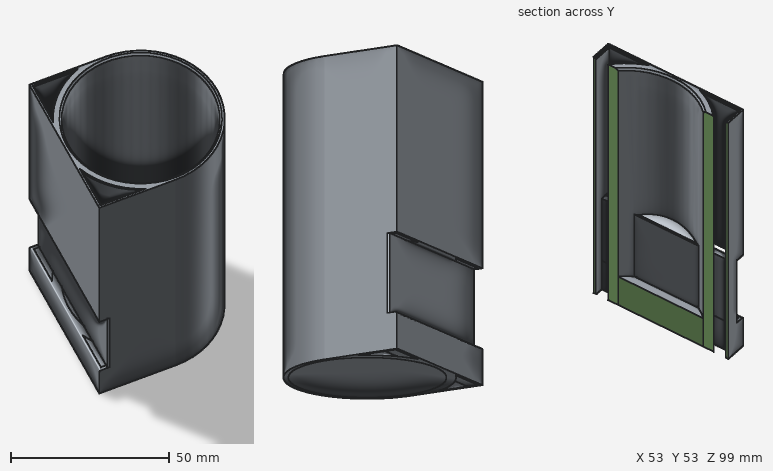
import cadquery as cq

height = 99.0
half_width = 26.5
front_y = -half_width

bore_radius = 50.0 / 2
bore_chamfer = 0.7
tube_radius = 28.0

wall = 1.1
pocket_chamfer = 0.35
pocket_half_width = half_width - wall

window_bottom = 12.1
window_top = 38.1
window_depth = 2.9
panel_back_depth = 4.95
panel_face_y = front_y + window_depth
panel_back_y = front_y + panel_back_depth
shoulder_depth = 3.6
shoulder_width = 0.35
lip_fillet = 0.7

shelf_back_depth = 4.3
shelf_top = 41.2


def cylinder(radius, bottom, top):
    return cq.Workplane("XY").workplane(offset=bottom).circle(radius).extrude(top - bottom)


def front_block(half_x, back_y, face_y, bottom, top):
    """Box centred on X between two Y planes and two Z levels."""
    return cq.Workplane("XY").box(
        2 * half_x, back_y - face_y, top - bottom, centered=(True, False, False)
    ).translate((0, face_y, bottom))


def make_envelope():
    square_front = front_block(half_width, 0, front_y, 0, height)
    return cylinder(half_width, 0, height).union(square_front)


def make_pockets():
    """Both corner pockets, straight through the full height."""
    inner_box = front_block(pocket_half_width, 0, -pocket_half_width, 0, height)
    return inner_box.cut(cylinder(tube_radius, 0, height))


def make_pocket_mouths():
    """Chamfers round the top of the corner pockets."""
    mouth_half_width = pocket_half_width + pocket_chamfer
    chamfer_start = height - pocket_chamfer
    mouth_top = height + pocket_chamfer
    mouth_box = front_block(mouth_half_width, mouth_half_width, -mouth_half_width, chamfer_start, mouth_top)
    mouth_box = mouth_box.faces("<Z").chamfer(pocket_chamfer)
    tube_rim = cylinder(tube_radius, 0, height).faces(">Z").chamfer(pocket_chamfer)
    front_half = front_block(half_width, 0, front_y, chamfer_start, mouth_top)
    return mouth_box.intersect(front_half).cut(tube_rim)


def make_window():
    """Window cut through the front, deepening at both ends to slanted shoulders."""
    shoulder_y = front_y + shoulder_depth
    panel_half_width = half_width - shoulder_width
    return (
        cq.Workplane("XY")
        .workplane(offset=window_bottom)
        .polyline([
            (-half_width, front_y),
            (-half_width, shoulder_y),
            (-panel_half_width, panel_face_y),
            (panel_half_width, panel_face_y),
            (half_width, shoulder_y),
            (half_width, front_y),
        ])
        .close()
        .extrude(window_top - window_bottom)
    )


def make_shelf():
    """Wedge falling from the front wall to the panel top, inside the tube."""
    wedge = (
        cq.Workplane("YZ")
        .polyline([
            (front_y, window_top),
            (front_y, shelf_top),
            (front_y + shelf_back_depth, window_top),
        ])
        .close()
        .extrude(half_width, both=True)
    )
    return wedge.intersect(cylinder(tube_radius, 0, height))


def make_housing():
    bore = cylinder(bore_radius, 0, height)
    bore_mouth = cylinder(bore_radius + bore_chamfer, height - bore_chamfer, height + bore_chamfer)
    bore_mouth = bore_mouth.faces("<Z").chamfer(bore_chamfer)
    panel = front_block(pocket_half_width, panel_back_y, panel_face_y, window_bottom, window_top)
    housing = make_envelope().cut(bore).cut(bore_mouth)
    housing = housing.cut(make_pockets()).cut(make_pocket_mouths())
    housing = housing.union(panel).union(make_shelf()).cut(make_window())
    lip = cq.selectors.NearestToPointSelector((0, front_y, window_bottom))
    return housing.edges(lip).fillet(lip_fillet).solids()


def make_floor():
    """Disc closing the bottom of the bore."""
    return cylinder(bore_radius, 0, window_bottom)


def make_corner_plug(side):
    """Plug filling the front of one corner pocket below the window."""
    plug_zone = front_block(half_width, panel_back_y, front_y, 0, window_bottom)
    one_side = cq.Workplane("XY").box(
        half_width, 2 * half_width, height, centered=(True, True, False)
    ).translate((side * half_width / 2, 0, 0))
    return make_pockets().intersect(plug_zone).intersect(one_side).solids()


housing = make_housing()
bore_floor = make_floor()
corner_plugs = [make_corner_plug(side) for side in (-1, 1)]

result = cq.Compound.makeCompound(
    [housing.val(), bore_floor.val(), *[plug.val() for plug in corner_plugs]]
)